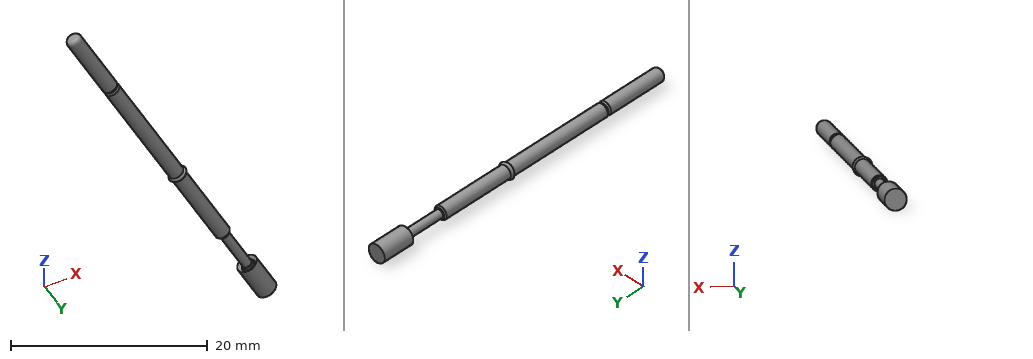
import cadquery as cq

axis_start = (0, 0, 0)
axis_end = (0, 1, 0)
total_length = 41.1

head_diameter = 2.3
head_length = 4.15
head_cup_depth = 0.33
cup_floor_diameter = 1.55
boss_diameter = 1.25
plunger_diameter = 1.05

barrel_diameter = 1.7
barrel_length = 32.0
mouth_chamfer_length = 0.2
mouth_chamfer_depth = 0.12
tail_round_radius = 0.45

collar_diameter = 2.05
collar_width = 0.55
collar_start = 22.0

groove_center = 8.2
groove_width = 0.5
groove_depth = 0.12


def cylinder(diameter, start, length):
    """Solid cylinder on the Y axis from `start` towards +Y."""
    plane = cq.Workplane("XZ", origin=(0, start, 0))
    return plane.circle(diameter / 2).extrude(-length)


def make_barrel():
    """Barrel with a rounded tail and a tapered mouth."""
    body = cylinder(barrel_diameter, 0, barrel_length)
    body = body.faces("<Y").edges().fillet(tail_round_radius)
    mouth_edge = body.faces(">Y").edges()
    return mouth_edge.chamfer(mouth_chamfer_length, mouth_chamfer_depth)


def make_head():
    """Cylindrical head with a tapered cup facing the barrel and a boss around the plunger in the cup."""
    start = total_length - head_length
    floor = start + head_cup_depth
    cup = (
        cq.Workplane("XY")
        .moveTo(0, start)
        .lineTo(head_diameter / 2, start)
        .lineTo(cup_floor_diameter / 2, floor)
        .lineTo(0, floor)
        .close()
        .revolve(360, axis_start, axis_end)
    )
    boss = cylinder(boss_diameter, start, head_cup_depth)
    return cylinder(head_diameter, start, head_length).cut(cup).union(boss)


def make_collar():
    """Press ring with a half-round rim."""
    rim_radius = collar_width / 2
    shoulder_radius = collar_diameter / 2 - rim_radius
    middle = collar_start + rim_radius
    end = collar_start + collar_width
    return (
        cq.Workplane("XY")
        .moveTo(0, collar_start)
        .lineTo(shoulder_radius, collar_start)
        .threePointArc((collar_diameter / 2, middle), (shoulder_radius, end))
        .lineTo(0, end)
        .close()
        .revolve(360, axis_start, axis_end)
    )


def make_groove():
    """Ring with a V section, cut from the barrel as a crimp groove."""
    radius = barrel_diameter / 2
    half_width = groove_width / 2
    return (
        cq.Workplane("XY")
        .moveTo(radius, groove_center - half_width)
        .lineTo(radius - groove_depth, groove_center)
        .lineTo(radius, groove_center + half_width)
        .close()
        .revolve(360, axis_start, axis_end)
    )


def make_plunger():
    """Thin rod from the barrel mouth to the floor of the head cup."""
    cup_floor = total_length - head_length + head_cup_depth
    return cylinder(plunger_diameter, barrel_length, cup_floor - barrel_length)


result = (
    make_barrel()
    .cut(make_groove())
    .union(make_collar())
    .union(make_plunger())
    .union(make_head())
)